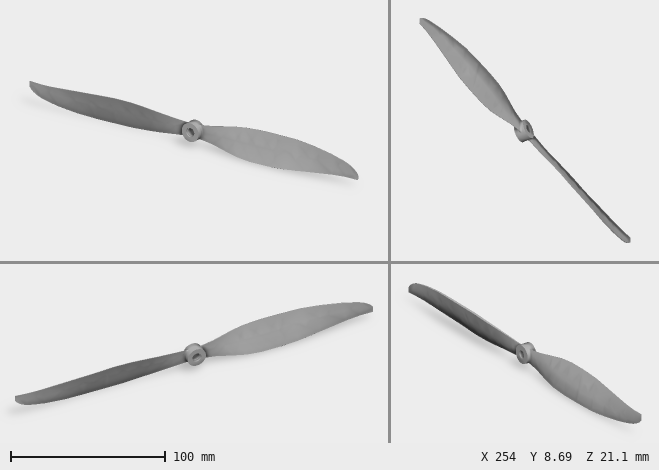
import cadquery as cq
import math

span = 254.0
tip = span / 2
depth = 8.6

hub_diameter = 13.0
bore_diameter = 5.3
recess_diameter = 6.4
recess_depth = 1.3
hub_length = 7.0
hub_front = -depth / 2
root_fillet = 1.0
root_half_width = 5.5

edge_thickness = 0.3
nose_ratio = 0.03
camber_ratio = 0.07
hollow_ratio = 0.02

stations = [
    (0.0, 4.5, -4.5, 0.5),
    (7.5, 5.0, -5.0, 0.5),
    (16.5, 6.4, -6.0, 1.3),
    (25.5, 8.0, -7.5, 2.5),
    (38.0, 9.5, -9.7, 3.8),
    (50.8, 10.2, -10.5, 3.8),
    (63.5, 10.2, -10.2, 3.8),
    (76.2, 10.2, -9.1, 3.5),
    (89.0, 9.5, -8.0, 2.5),
    (101.5, 8.0, -6.5, 1.5),
    (114.3, 5.3, -5.5, 0.8),
    (122.0, 2.5, -5.5, 0.3),
    (tip, -1.8, -5.8, 0.0),
]


def blade_section(radius, leading_z, trailing_z, half_depth):
    """Thin cambered profile in the YZ plane, with its convex face towards +Y."""
    half_edge = edge_thickness / 2
    edge_y = max(half_depth - half_edge, 0.0)
    chord = math.hypot(2 * edge_y, leading_z - trailing_z)
    normal_y = (leading_z - trailing_z) / chord
    normal_z = -2 * edge_y / chord

    def point(along, rise):
        """Place a point by its fraction from trailing to leading edge and its rise off the chord."""
        y = edge_y * (2 * along - 1) + rise * normal_y
        z = trailing_z + along * (leading_z - trailing_z) + rise * normal_z
        return (y, z)

    nose = nose_ratio * chord
    profile = (
        cq.Workplane("YZ", origin=(radius, 0, 0))
        .moveTo(*point(0, -half_edge))
        .lineTo(*point(0, half_edge))
        .threePointArc(point(0.5, half_edge + camber_ratio * chord), point(1, nose))
        .lineTo(*point(1, -nose))
        .threePointArc(point(0.5, -half_edge + hollow_ratio * chord), point(0, -half_edge))
        .close()
    )
    return profile.val()


def make_blade():
    sections = [blade_section(*station) for station in stations]
    return cq.Workplane(cq.Solid.makeLoft(sections))


def shaft_cylinder(diameter, length):
    """Cylinder along the shaft axis, starting at the front of the hub."""
    return (
        cq.Workplane("XZ", origin=(0, hub_front, 0))
        .circle(diameter / 2)
        .extrude(-length)
        .rotate((0, 0, 0), (0, 1, 0), 90)
    )


blade = make_blade()
opposite_blade = blade.rotate((0, 0, 0), (0, 1, 0), 180)
hub = shaft_cylinder(hub_diameter, hub_length)
result = hub.union(blade).union(opposite_blade)

root_zone = cq.selectors.BoxSelector(
    (-hub_diameter / 2, -hub_length / 3, -root_half_width),
    (hub_diameter / 2, hub_length / 3, root_half_width),
)
result = result.edges(root_zone).fillet(root_fillet)

result = result.cut(shaft_cylinder(bore_diameter, hub_length))
result = result.cut(shaft_cylinder(recess_diameter, recess_depth))